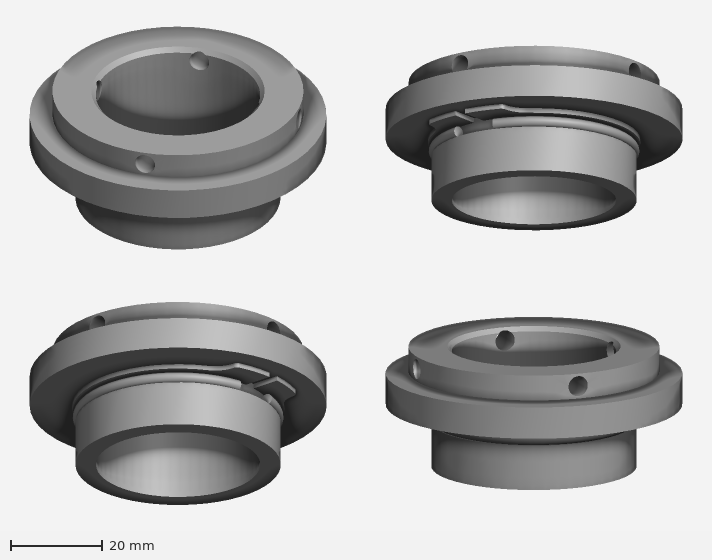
import cadquery as cq
import math

total_height = 27.0
sleeve_radius = 22.5
sleeve_height = 10.0
neck_radius = 20.55
cap_radius = 27.5
cap_thickness = 5.6
bore_radius = 18.0
bore_chamfer = 1.0
cross_hole_diameter = 4.5

ring_radius = 32.5
ring_thickness = 7.0

wire_diameter = 2.55
wire_half_gap_angle = 13.0

clip_radius = 23.3
clip_thickness = 1.05
clip_half_gap = 1.3
lug_radius = 27.3
lug_half_width = 10.2
lug_corner_radius = 1.2
lug_root_radius = 6.1
wire_to_clip_gap = 0.4

cap_bottom = total_height - cap_thickness
cross_hole_height = cap_bottom + cap_thickness / 2
clip_bottom = sleeve_height + wire_diameter + wire_to_clip_gap
ring_bottom = clip_bottom + clip_thickness


def make_core():
    """Sleeve, neck and cap in one piece, with a chamfered bore and crossed radial holes."""
    sleeve = cq.Workplane("XY").circle(sleeve_radius).extrude(sleeve_height)
    neck = cq.Workplane("XY").circle(neck_radius).extrude(cap_bottom)
    cap = cq.Workplane("XY").workplane(offset=cap_bottom).circle(cap_radius).extrude(cap_thickness)
    bore = cq.Workplane("XY").circle(bore_radius).extrude(total_height)
    core = sleeve.union(neck).union(cap).cut(bore)
    core = core.faces(">Z").edges(cq.selectors.RadiusNthSelector(0)).chamfer(bore_chamfer)

    for plane in ("XZ", "YZ"):
        cross_hole = (
            cq.Workplane(plane)
            .center(0, cross_hole_height)
            .circle(cross_hole_diameter / 2)
            .extrude(cap_radius, both=True)
        )
        core = core.cut(cross_hole)
    return core


def make_outer_ring():
    """Plain ring that turns on the neck."""
    return (
        cq.Workplane("XY")
        .workplane(offset=ring_bottom)
        .circle(ring_radius)
        .circle(neck_radius)
        .extrude(ring_thickness)
    )


def make_wire_ring():
    """Round-wire ring around the neck, open on the +Y side."""
    wire_radius = wire_diameter / 2
    centerline_radius = neck_radius + wire_radius
    swept_angle = 360 - 2 * wire_half_gap_angle
    return (
        cq.Workplane("XZ")
        .center(centerline_radius, sleeve_height + wire_radius)
        .circle(wire_radius)
        .revolve(swept_angle, (-centerline_radius, 0), (-centerline_radius, 1))
        .rotate((0, 0, 0), (0, 0, 1), 90 + wire_half_gap_angle)
    )


def point_at(radius, angle):
    """Point at a radius and an angle (radians) from +X, about the Z axis."""
    return (radius * math.cos(angle), radius * math.sin(angle))


def make_retaining_ring():
    """Flat open ring with two rounded lugs beside the gap on the +Y side."""
    corner_x = lug_half_width - lug_corner_radius
    corner_angle = math.acos(corner_x / (lug_radius - lug_corner_radius))
    corner_y = corner_x * math.tan(corner_angle)
    corner_start = point_at(lug_radius, corner_angle)
    corner_mid = (
        corner_x + lug_corner_radius * math.cos(corner_angle / 2),
        corner_y + lug_corner_radius * math.sin(corner_angle / 2),
    )

    root_x = lug_half_width + lug_root_radius
    root_angle = math.acos(root_x / (clip_radius + lug_root_radius))
    root_y = root_x * math.tan(root_angle)
    root_end = point_at(clip_radius, root_angle)
    root_mid = (
        root_x - lug_root_radius * math.cos(root_angle / 2),
        root_y - lug_root_radius * math.sin(root_angle / 2),
    )

    lug_start_angle = math.acos(clip_half_gap / lug_radius)
    lug_start = point_at(lug_radius, lug_start_angle)
    lug_mid = point_at(lug_radius, (lug_start_angle + corner_angle) / 2)
    inner_end = (clip_half_gap, math.sqrt(neck_radius**2 - clip_half_gap**2))

    def mirrored(point):
        return (-point[0], point[1])

    return (
        cq.Workplane("XY")
        .workplane(offset=clip_bottom)
        .moveTo(*inner_end)
        .lineTo(*lug_start)
        .threePointArc(lug_mid, corner_start)
        .threePointArc(corner_mid, (lug_half_width, corner_y))
        .lineTo(lug_half_width, root_y)
        .threePointArc(root_mid, root_end)
        .threePointArc((0, -clip_radius), mirrored(root_end))
        .threePointArc(mirrored(root_mid), (-lug_half_width, root_y))
        .lineTo(-lug_half_width, corner_y)
        .threePointArc(mirrored(corner_mid), mirrored(corner_start))
        .threePointArc(mirrored(lug_mid), mirrored(lug_start))
        .lineTo(*mirrored(inner_end))
        .threePointArc((0, -neck_radius), inner_end)
        .close()
        .extrude(clip_thickness)
    )


core = make_core()
outer_ring = make_outer_ring()
wire_ring = make_wire_ring()
retaining_ring = make_retaining_ring()

result = cq.Compound.makeCompound(
    [core.val(), outer_ring.val(), wire_ring.val(), retaining_ring.val()]
)